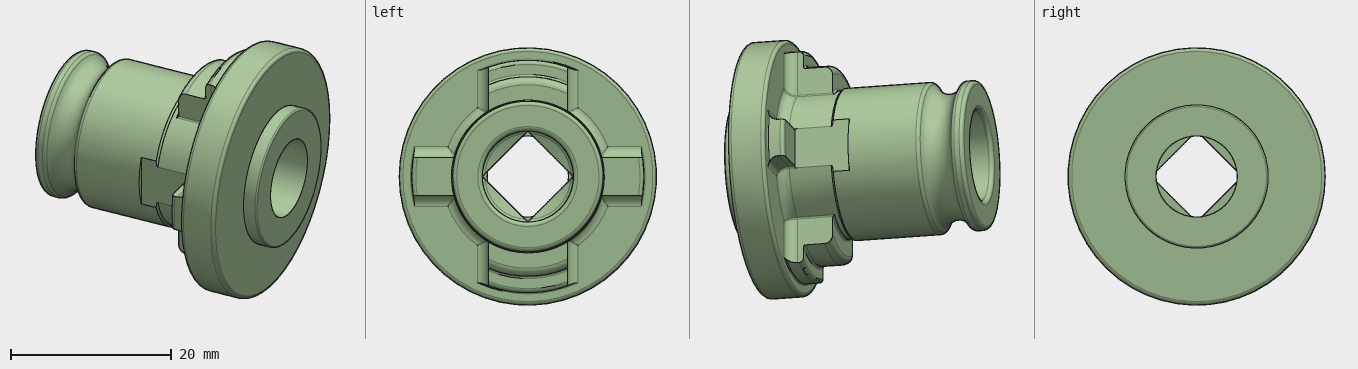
import cadquery as cq
import math


nose_radius = 9.35
edge_round = 0.5
groove_x = 3.55
groove_arc_radius = 2.15
groove_floor_radius = 7.85
shank_radius = 9.5
shank_end_x = 16.8

neck_radius = 9.25
small_round = shank_radius - neck_radius

flange_x = 23.8
flange_end_x = 28.5
flange_radius = 16.0
flange_round = 0.45
foot_round = 1.35

tail_neck_radius = 7.1
tail_disc_x = 29.0
tail_disc_radius = 8.9
tail_round = 0.2
total_length = 30.8

lug_front_x = 21.67
lug_radius = 14.45
lug_round = 0.5
lug_base_round = 0.15
wide_lug_width = 9.8
narrow_lug_width = 4.7

step_front_x = 17.9
step_radius = 12.4
step_round = 1.0
step_base_round = 0.3

flat_distance = 8.9
flat_start_x = 14.73

mouth_radius = 5.66
mouth_round = 0.55
mouth_depth = 4.0
mouth_floor_round = 0.5
cone_angle = 20
square_size = 8.0
square_end_x = 14.0
rear_hole_radius = 5.03

tolerance = 0.01


def disc(start_x, end_x, radius):
    """Solid cylinder on the X axis."""
    return cq.Workplane("YZ").workplane(offset=start_x).circle(radius).extrude(end_x - start_x)


def revolve_about_x(profile):
    """Turn a closed (x, radius) profile about the X axis."""
    return profile.close().revolve(360, (0, 0, 0), (1, 0, 0))


def concave_ring(wall_x, inner_radius, size):
    """Disc that flares out from inner_radius to meet a wall at wall_x in a concave round."""
    mid_offset = size * (1 - math.sqrt(0.5))
    profile = (
        cq.Workplane("XY")
        .moveTo(wall_x - size, 0)
        .lineTo(wall_x - size, inner_radius)
        .threePointArc((wall_x - mid_offset, inner_radius + mid_offset), (wall_x, inner_radius + size))
        .lineTo(wall_x, 0)
    )
    return revolve_about_x(profile)


def make_front():
    """Nose collar, groove and shank, with the small round where the shank drops to the neck."""
    nose = disc(0, groove_x, nose_radius).faces("<X").edges().fillet(edge_round)
    shank = disc(groove_x, shank_end_x, shank_radius)
    groove_centre_radius = groove_floor_radius + groove_arc_radius
    groove = cq.Workplane("XY").moveTo(groove_x, groove_centre_radius).circle(groove_arc_radius)
    groove = groove.revolve(360, (0, 0, 0), (1, 0, 0))
    front = nose.union(shank).cut(groove)

    def is_groove_rim(edge):
        distance = abs(edge.Center().x - groove_x)
        return edge.geomType() == "CIRCLE" and edge_round < distance < groove_arc_radius

    front = front.edges().filter(is_groove_rim).fillet(edge_round)
    step_ring = concave_ring(shank_end_x, neck_radius, small_round)
    step_ring = step_ring.mirror("YZ", (shank_end_x, 0, 0))
    return front.union(step_ring)


def make_tail():
    """Disc carried on a short neck behind the flange."""
    tail_neck = disc(flange_end_x, tail_disc_x, tail_neck_radius)
    tail_disc = disc(tail_disc_x, total_length, tail_disc_radius).faces(">X").edges().fillet(tail_round)
    return tail_neck.union(tail_disc)


def make_lug_envelope(stepped):
    """Turned envelope of a lug pair, with the inner step when stepped is true."""
    envelope = disc(lug_front_x, flange_x, lug_radius).faces("<X").edges().fillet(lug_round)
    envelope = envelope.union(concave_ring(flange_x, lug_radius, lug_base_round))
    if stepped:
        step = disc(step_front_x, lug_front_x, step_radius).faces("<X").edges().fillet(step_round)
        step_base = concave_ring(lug_front_x, step_radius, step_base_round)
        envelope = envelope.union(step).union(step_base)
    return envelope


def make_flared_slab(width):
    """Slab along Z whose sides flare out in a concave round where they meet the flange."""
    half = width / 2
    mid_offset = foot_round * (1 - math.sqrt(0.5))
    flare_x = flange_x - foot_round
    return (
        cq.Workplane("XY")
        .moveTo(step_front_x, -half)
        .lineTo(step_front_x, half)
        .lineTo(flare_x, half)
        .threePointArc((flange_x - mid_offset, half + mid_offset), (flange_x, half + foot_round))
        .lineTo(flange_x, -half - foot_round)
        .threePointArc((flange_x - mid_offset, -half - mid_offset), (flare_x, -half))
        .close()
        .extrude(lug_radius + foot_round, both=True)
    )


def make_neck_with_lugs():
    """Neck, front wall of the flange and all four lugs, rounded where lugs and neck meet."""
    wide_lugs = make_lug_envelope(True).intersect(make_flared_slab(wide_lug_width))
    narrow_lugs = make_lug_envelope(False).intersect(make_flared_slab(narrow_lug_width))
    narrow_lugs = narrow_lugs.rotate((0, 0, 0), (1, 0, 0), 90)
    neck = disc(shank_end_x, flange_x, neck_radius).union(concave_ring(flange_x, neck_radius, foot_round))
    wall = disc(flange_x, flange_end_x, flange_radius).edges().fillet(flange_round)
    flare_x = flange_x - foot_round

    def is_lug_root(edge):
        centre = edge.Center()
        reach = max(math.hypot(vertex.Y, vertex.Z) for vertex in edge.Vertices())
        on_neck = reach < neck_radius + foot_round + tolerance
        on_front = min(abs(centre.x - step_front_x), abs(centre.x - lug_front_x)) < tolerance
        on_wide_side = abs(abs(centre.y) - wide_lug_width / 2) < tolerance and step_front_x < centre.x
        on_narrow_side = abs(abs(centre.z) - narrow_lug_width / 2) < tolerance and lug_front_x < centre.x
        on_flare = flare_x + tolerance < centre.x < flange_x - tolerance
        return on_neck and (on_front or on_wide_side or on_narrow_side or on_flare)

    body = neck.union(wide_lugs).union(narrow_lugs).union(wall)
    return body.edges().filter(is_lug_root).fillet(small_round)


def make_flat_cutters():
    """Blocks that leave the flats on the Y sides."""
    length = lug_front_x - flat_start_x
    depth = shank_radius
    block = cq.Workplane("XY").box(length, depth, 2 * shank_radius)
    block = block.translate((flat_start_x + length / 2, flat_distance + depth / 2, 0))
    return block.union(block.mirror("XZ"))


def make_bore():
    """Cutter for the mouth, the square socket and the rear hole."""
    cone_depth = mouth_radius * math.tan(math.radians(cone_angle))
    mouth = revolve_about_x(
        cq.Workplane("XY")
        .lineTo(0, mouth_radius)
        .lineTo(mouth_depth, mouth_radius)
        .lineTo(mouth_depth + cone_depth, 0)
    )
    floor_rim = cq.selectors.BoxSelector(
        (mouth_depth - tolerance, -mouth_radius, -mouth_radius),
        (mouth_depth + tolerance, mouth_radius, mouth_radius),
    )
    mouth = mouth.edges(floor_rim).fillet(mouth_floor_round)
    lip = concave_ring(0, mouth_radius, mouth_round).mirror("YZ")
    socket_x = mouth_depth - mouth_floor_round
    socket = (
        cq.Workplane("YZ")
        .workplane(offset=socket_x)
        .transformed(rotate=(0, 0, 45))
        .rect(square_size, square_size)
        .extrude(square_end_x - socket_x)
    )
    rear_hole = disc(square_end_x, total_length, rear_hole_radius)
    return mouth.union(lip).union(socket).union(rear_hole)


body = make_front().union(make_neck_with_lugs()).union(make_tail())
result = body.cut(make_flat_cutters()).cut(make_bore())